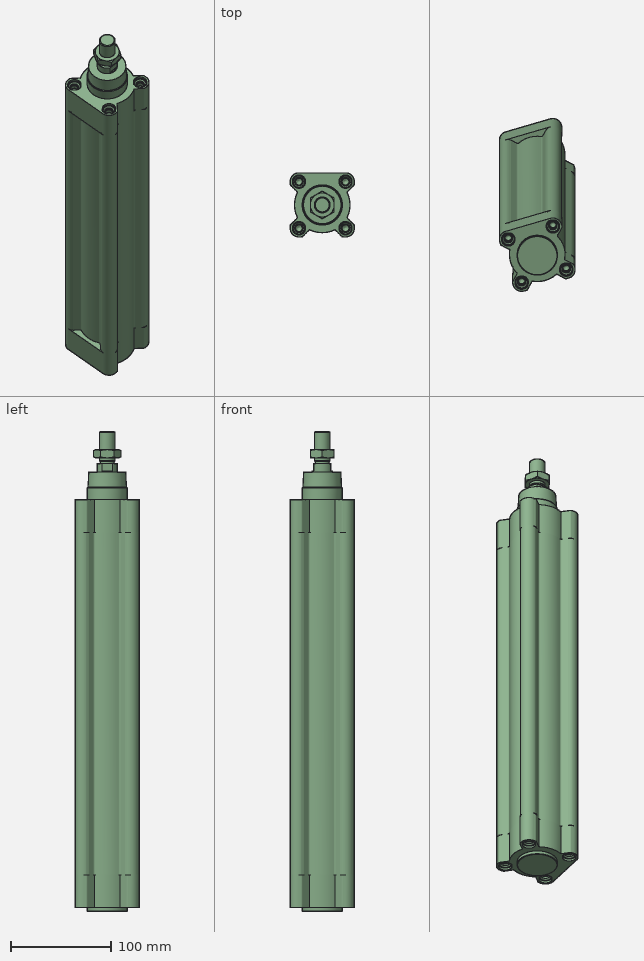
import cadquery as cq
import math

REAR_CAP_BOTTOM = 4.0
REAR_CAP_TOP = 36.5
FRONT_CAP_BOTTOM = 377.0
FRONT_CAP_TOP = 410.0
COLLAR_STEP = 422.5
COLLAR_TOP = 437.0
ROD_SHOULDER = 446.0
UNDERCUT_TOP = 447.5
NUT_BOTTOM = 451.5
NUT_TOP = 459.5
ROD_TIP = 478.0

WIDTH = 64.0
HALF_WIDTH = WIDTH / 2
SCREW_PITCH = 46.5
SCREW_OFFSET = SCREW_PITCH / 2
LOBE_RADIUS = HALF_WIDTH - SCREW_OFFSET
CORE_RADIUS = 27.5
PORT_BLOCK_WIDTH = SCREW_PITCH

FLANK_ROOT_SPACING = 25.5
FLANK_ROOT_X = FLANK_ROOT_SPACING / 2
FLANK_ROOT_Y = math.sqrt(CORE_RADIUS**2 - FLANK_ROOT_X**2)
FLANK_RISE = FLANK_ROOT_Y - FLANK_ROOT_X

CAP_EDGE_FILLET = 2.0
BARREL_LOBE_END_X = 21.0
BARREL_BEVEL_X = 19.5
BARREL_BEVEL_Y = 31.0
BARREL_FLANK_START_X = 18.0
BARREL_ROOT_FILLET = 2.0

COLLAR_DIAMETER = 40.0
COLLAR_TAPER_TOP_DIAMETER = 37.5
COLLAR_TAPER_BOTTOM_DIAMETER = 38.5
COLLAR_STEP_CHAMFER = 1.0
REAR_COLLAR_CHAMFER = 0.5

SCREW_RECESS_DIAMETER = 13.5
SCREW_RECESS_DEPTH = 2.5
COUNTERSINK_DIAMETER = 11.5
COUNTERSINK_DEPTH = 4.0
SOCKET_DIAMETER = 8.5
SOCKET_DEPTH = 5.5
DRILL_DIAMETER = 6.5
DRILL_DEPTH = 9.5
DRILL_TIP_ANGLE = 118

ROD_DIAMETER = 20.0
ROD_FLATS_WIDTH = 17.0
ROD_FLATS_BOTTOM = 438.5
THREAD_DIAMETER = 16.0
THREAD_CHAMFER = 1.0
UNDERCUT_DIAMETER = 14.0
UNDERCUT_FLARE_DIAMETER = 14.5
UNDERCUT_FLARE_HEIGHT = 1.0

NUT_ACROSS_FLATS = 24.0
NUT_CORNER_RADIUS = NUT_ACROSS_FLATS / math.sqrt(3)
NUT_CHAMFER_ANGLE = 30


def axial_cylinder(radius, bottom, top):
    return cq.Workplane("XY").workplane(offset=bottom).circle(radius).extrude(top - bottom)


def revolved(points):
    """Solid of revolution about Z from (radius, z) points."""
    return cq.Workplane("XZ").polyline(points).close().revolve(360, (0, 0, 0), (0, 1, 0))


def add_to_corners(body, lobe):
    """Join a copy of the +X +Y corner lobe to each of the four corners."""
    for turn in range(4):
        body = body.union(lobe.rotate((0, 0, 0), (0, 0, 1), 90 * turn))
    return body


def cap(bottom, top):
    """Round core with four corner lobes, squared off on the +Y side."""
    height = top - bottom
    body = axial_cylinder(CORE_RADIUS, bottom, top)
    shoulder_x = HALF_WIDTH - FLANK_RISE
    lobe = (
        cq.Workplane("XY").workplane(offset=bottom)
        .polyline([
            (0, 0),
            (FLANK_ROOT_X, FLANK_ROOT_Y),
            (shoulder_x, HALF_WIDTH),
            (HALF_WIDTH, HALF_WIDTH),
            (HALF_WIDTH, shoulder_x),
            (FLANK_ROOT_Y, FLANK_ROOT_X),
        ])
        .close()
        .extrude(height)
    )
    corner = (HALF_WIDTH, HALF_WIDTH, bottom)
    shoulders = [(shoulder_x, HALF_WIDTH, bottom), (HALF_WIDTH, shoulder_x, bottom)]
    lobe = lobe.edges("|Z").edges(cq.NearestToPointSelector(corner)).fillet(LOBE_RADIUS)
    for shoulder in shoulders:
        lobe = lobe.edges("|Z").edges(cq.NearestToPointSelector(shoulder)).fillet(CAP_EDGE_FILLET)
    body = add_to_corners(body, lobe)
    port_block = (
        cq.Workplane("XY").workplane(offset=bottom)
        .center(0, HALF_WIDTH / 2)
        .rect(PORT_BLOCK_WIDTH, HALF_WIDTH)
        .extrude(height)
    )
    return body.union(port_block)


def barrel():
    """Round body with four corner lobes that run the whole way between the caps."""
    bottom = REAR_CAP_TOP
    top = FRONT_CAP_BOTTOM
    lobe_end_y = SCREW_OFFSET + math.sqrt(LOBE_RADIUS**2 - (SCREW_OFFSET - BARREL_LOBE_END_X) ** 2)
    lobe_mid = SCREW_OFFSET + LOBE_RADIUS / math.sqrt(2)
    flank_start_y = BARREL_FLANK_START_X + FLANK_RISE
    lobe = (
        cq.Workplane("XY").workplane(offset=bottom)
        .lineTo(FLANK_ROOT_X, FLANK_ROOT_Y)
        .lineTo(BARREL_FLANK_START_X, flank_start_y)
        .lineTo(BARREL_BEVEL_X, BARREL_BEVEL_Y)
        .lineTo(BARREL_LOBE_END_X, lobe_end_y)
        .threePointArc((lobe_mid, lobe_mid), (lobe_end_y, BARREL_LOBE_END_X))
        .lineTo(BARREL_BEVEL_Y, BARREL_BEVEL_X)
        .lineTo(flank_start_y, BARREL_FLANK_START_X)
        .lineTo(FLANK_ROOT_Y, FLANK_ROOT_X)
        .close()
        .extrude(top - bottom)
    )
    body = axial_cylinder(CORE_RADIUS, bottom, top)
    body = add_to_corners(body, lobe)
    for sx in (-1, 1):
        for sy in (-1, 1):
            for x, y in ((FLANK_ROOT_X, FLANK_ROOT_Y), (FLANK_ROOT_Y, FLANK_ROOT_X)):
                root = (sx * x, sy * y, (bottom + top) / 2)
                body = body.edges("|Z").edges(cq.NearestToPointSelector(root)).fillet(BARREL_ROOT_FILLET)
    return body


def front_collar():
    """Guide collar: a cylinder with a chamfered step to a slightly tapered upper part."""
    radius = COLLAR_DIAMETER / 2
    return revolved([
        (0, FRONT_CAP_TOP),
        (radius, FRONT_CAP_TOP),
        (radius, COLLAR_STEP - COLLAR_STEP_CHAMFER),
        (COLLAR_TAPER_BOTTOM_DIAMETER / 2, COLLAR_STEP),
        (COLLAR_TAPER_TOP_DIAMETER / 2, COLLAR_TOP),
        (0, COLLAR_TOP),
    ])


def rear_collar():
    collar = axial_cylinder(COLLAR_DIAMETER / 2, 0, REAR_CAP_BOTTOM)
    return collar.faces("<Z").chamfer(REAR_COLLAR_CHAMFER)


def screw_recess():
    """Cutter for one cap screw opening at z = 0: recess, countersink, socket and drilled hole."""
    drill_radius = DRILL_DIAMETER / 2
    tip_height = drill_radius / math.tan(math.radians(DRILL_TIP_ANGLE / 2))
    return revolved([
        (0, 0),
        (SCREW_RECESS_DIAMETER / 2, 0),
        (SCREW_RECESS_DIAMETER / 2, -SCREW_RECESS_DEPTH),
        (COUNTERSINK_DIAMETER / 2, -SCREW_RECESS_DEPTH),
        (SOCKET_DIAMETER / 2, -COUNTERSINK_DEPTH),
        (SOCKET_DIAMETER / 2, -SOCKET_DEPTH),
        (drill_radius, -SOCKET_DEPTH),
        (drill_radius, -DRILL_DEPTH),
        (0, -DRILL_DEPTH - tip_height),
    ])


def make_housing():
    body = cap(REAR_CAP_BOTTOM, REAR_CAP_TOP)
    body = body.union(barrel())
    body = body.union(cap(FRONT_CAP_BOTTOM, FRONT_CAP_TOP))
    body = body.union(front_collar()).union(rear_collar())
    front_recess = screw_recess()
    rear_recess = front_recess.mirror("XY")
    for x in (-SCREW_OFFSET, SCREW_OFFSET):
        for y in (-SCREW_OFFSET, SCREW_OFFSET):
            body = body.cut(front_recess.translate((x, y, FRONT_CAP_TOP)))
            body = body.cut(rear_recess.translate((x, y, REAR_CAP_BOTTOM)))
    rod_bore = axial_cylinder(ROD_DIAMETER / 2, FRONT_CAP_BOTTOM, COLLAR_TOP)
    return body.cut(rod_bore)


def make_rod():
    """Piston rod with wrench flats on its X sides, an undercut and a threaded end."""
    shaft = axial_cylinder(ROD_DIAMETER / 2, FRONT_CAP_BOTTOM, ROD_SHOULDER)
    flats = (
        cq.Workplane("XY").workplane(offset=ROD_FLATS_BOTTOM)
        .rect(ROD_FLATS_WIDTH, ROD_DIAMETER)
        .extrude(ROD_SHOULDER - ROD_FLATS_BOTTOM)
    )
    plain = axial_cylinder(ROD_DIAMETER / 2, FRONT_CAP_BOTTOM, ROD_FLATS_BOTTOM)
    shaft = shaft.intersect(flats).union(plain)
    undercut = revolved([
        (0, ROD_SHOULDER),
        (UNDERCUT_FLARE_DIAMETER / 2, ROD_SHOULDER),
        (UNDERCUT_DIAMETER / 2, ROD_SHOULDER + UNDERCUT_FLARE_HEIGHT),
        (UNDERCUT_DIAMETER / 2, UNDERCUT_TOP),
        (0, UNDERCUT_TOP),
    ])
    thread = axial_cylinder(THREAD_DIAMETER / 2, UNDERCUT_TOP, ROD_TIP)
    thread = thread.faces("|Z").edges().chamfer(THREAD_CHAMFER)
    return shaft.union(undercut).union(thread)


def make_nut():
    """Hexagon nut with corners on the Y axis and chamfered at both ends."""
    hexagon = (
        cq.Workplane("XY").workplane(offset=NUT_BOTTOM)
        .polygon(6, 2 * NUT_CORNER_RADIUS)
        .extrude(NUT_TOP - NUT_BOTTOM)
        .rotate((0, 0, 0), (0, 0, 1), 90)
    )
    flat_radius = NUT_ACROSS_FLATS / 2
    chamfer_height = (NUT_CORNER_RADIUS - flat_radius) * math.tan(math.radians(NUT_CHAMFER_ANGLE))
    envelope = revolved([
        (0, NUT_BOTTOM),
        (flat_radius, NUT_BOTTOM),
        (NUT_CORNER_RADIUS, NUT_BOTTOM + chamfer_height),
        (NUT_CORNER_RADIUS, NUT_TOP - chamfer_height),
        (flat_radius, NUT_TOP),
        (0, NUT_TOP),
    ])
    hole = axial_cylinder(THREAD_DIAMETER / 2, NUT_BOTTOM, NUT_TOP)
    return hexagon.intersect(envelope).cut(hole)


housing = make_housing()
rod = make_rod()
nut = make_nut()

result = cq.Compound.makeCompound([housing.val(), rod.val(), nut.val()])